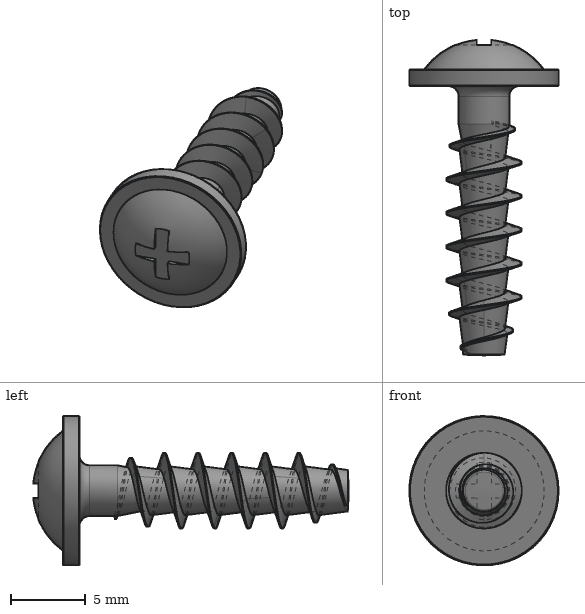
import cadquery as cq
import math


length = 21.1
flange_radius = 5.0
flange_top = 1.98
flange_bottom = 3.1
flange_edge_chamfer = 0.06
dome_base_radius = 4.01
slot_width = 0.95
slot_depth = 0.34

shank_radius = 1.7
shank_end = 5.62
neck_fillet = 0.65
core_radius = 1.4
core_start = 7.18
tip_rim = 21.03
tip_face_radius = 1.27
tip_face_rim = 21.07

crest_radius = 2.53
crest_half_width = 0.05
ridge_upper_width = 0.38
ridge_lower_width = 0.3
ramp_start_radius = 1.65
thread_foot_radius = 1.05
full_thread_start = 8.21
full_thread_end = 17.77
full_thread_turns = 4.25
pitch = (full_thread_end - full_thread_start) / full_thread_turns
longest_piece_turns = 0.9

run_in_turns = 1.2
run_in_crest_radius = 2.0
run_in_half_width = 0.2

run_out_turns = 0.5
run_out_crest_radius = 2.15
run_out_upper_width = 0.25
run_out_lower_width = 0.21
tip_turns = 0.87
tip_crest_radius = 1.48
tip_half_width = 0.06
tip_ramp_start_radius = core_radius + 0.02


def make_body():
    """Revolve the dome, flange, shank and core as one profile."""
    corner = slot_width / math.sqrt(2)
    dome_centre = (dome_base_radius**2 + flange_top**2 - corner**2) / (2 * flange_top)
    dome_radius = math.hypot(corner, dome_centre)
    dome_apex = dome_centre - dome_radius
    half_angle = math.asin(dome_base_radius / dome_radius) / 2
    dome_middle = (
        dome_radius * math.sin(half_angle),
        dome_centre - dome_radius * math.cos(half_angle),
    )
    fillet_offset = neck_fillet * (1 - math.sqrt(0.5))
    chamfer = flange_edge_chamfer
    profile = (
        cq.Workplane("XZ")
        .moveTo(0, dome_apex)
        .threePointArc(dome_middle, (dome_base_radius, flange_top))
        .lineTo(flange_radius - chamfer, flange_top)
        .lineTo(flange_radius, flange_top + chamfer)
        .lineTo(flange_radius, flange_bottom - chamfer)
        .lineTo(flange_radius - chamfer, flange_bottom)
        .lineTo(shank_radius + neck_fillet, flange_bottom)
        .threePointArc(
            (shank_radius + fillet_offset, flange_bottom + fillet_offset),
            (shank_radius, flange_bottom + neck_fillet),
        )
        .lineTo(shank_radius, shank_end)
        .lineTo(core_radius, core_start)
        .lineTo(core_radius, tip_rim)
        .lineTo(tip_face_radius, tip_face_rim)
        .lineTo(0, length)
        .close()
    )
    return profile.revolve(360, (0, 0, 0), (0, 1, 0))


def cut_cross_slots(body):
    """Cut two crossed slots right through the top of the dome."""
    slot_length = 2 * flange_radius
    for size in ((slot_width, slot_length), (slot_length, slot_width)):
        slot = cq.Workplane("XY").workplane(offset=slot_depth).rect(*size).extrude(-2 * slot_depth)
        body = body.cut(slot)
    return body


def spiral_edge(start, end, turns, start_angle):
    """Edge whose (radius, z) goes evenly from start to end while it turns about Z."""
    growth = (end[0] - start[0]) / turns
    rise = (end[1] - start[1]) / turns
    if rise == 0:
        return cq.Edge.makeCircle(
            start[0], (0, 0, start[1]), angle1=start_angle, angle2=start_angle + 360 * turns
        )
    slant = math.hypot(growth, rise)
    cone_angle = math.degrees(math.asin(growth / slant)) if growth else 360
    spiral = cq.Wire.makeHelix(slant, slant * turns, start[0], angle=cone_angle)
    spiral = spiral.translate((0, 0, start[1])).rotate((0, 0, 0), (0, 0, 1), start_angle)
    return spiral.Edges()[0]


def sweep_section(start_section, end_section, turns, start_angle):
    """Solid that changes evenly between two (radius, z) sections as it turns about Z."""
    edges = [
        spiral_edge(start, end, turns, start_angle)
        for start, end in zip(start_section, end_section)
    ]
    following = edges[1:] + edges[:1]
    faces = [cq.Face.makeRuledSurface(edge, other) for edge, other in zip(edges, following)]
    for corners in ([e.startPoint() for e in edges], [e.endPoint() for e in edges]):
        faces.append(cq.Face.makeFromWires(cq.Wire.makePolygon(corners, close=True)))
    return cq.Solid.makeSolid(cq.Shell.makeShell(faces))


def blend(start_section, end_section, share):
    """Section that lies the given share of the way from start to end."""
    return [
        (r0 + (r1 - r0) * share, z0 + (z1 - z0) * share)
        for (r0, z0), (r1, z1) in zip(start_section, end_section)
    ]


def sweep_in_pieces(start_section, end_section, turns, start_angle):
    """Same sweep, split into equal solids of at most longest_piece_turns."""
    count = math.ceil(turns / longest_piece_turns)
    return [
        sweep_section(
            blend(start_section, end_section, i / count),
            blend(start_section, end_section, (i + 1) / count),
            turns / count,
            start_angle + 360 * turns * i / count,
        )
        for i in range(count)
    ]


def thread_section(z, crest, upper_width, lower_width, ramp_start, ramp_end):
    """Ridge centred at z, followed by the ramp down to the core at ramp_end."""
    return [
        (thread_foot_radius, z - upper_width),
        (core_radius, z - upper_width),
        (crest, z - crest_half_width),
        (crest, z + crest_half_width),
        (ramp_start, z + lower_width),
        (core_radius, ramp_end),
        (thread_foot_radius, ramp_end),
    ]


def full_section(z):
    """Full-height ridge whose ramp ends inside the next ridge."""
    return thread_section(
        z, crest_radius, ridge_upper_width, ridge_lower_width, ramp_start_radius, z + pitch
    )


def make_thread():
    """List the solids of the run-in, the full thread and both parts of the run-out."""
    run_in_start = full_thread_start - run_in_turns * pitch
    run_out_end = full_thread_end + run_out_turns * pitch
    tip_end = run_out_end + tip_turns * pitch

    run_in_section = thread_section(
        run_in_start,
        run_in_crest_radius,
        run_in_half_width,
        run_in_half_width,
        ramp_start_radius,
        run_in_start + pitch,
    )
    first_section = full_section(full_thread_start)
    last_section = full_section(full_thread_end)
    run_out_section = thread_section(
        run_out_end,
        run_out_crest_radius,
        run_out_upper_width,
        run_out_lower_width,
        ramp_start_radius,
        tip_rim,
    )
    tip_section = thread_section(
        tip_end, tip_crest_radius, tip_half_width, tip_half_width, tip_ramp_start_radius, tip_rim
    )
    stages = (
        (run_in_section, first_section, run_in_turns),
        (first_section, last_section, full_thread_turns),
        (last_section, run_out_section, run_out_turns),
        (run_out_section, tip_section, tip_turns),
    )

    solids = []
    start_angle = -360 * run_in_turns
    for start_section, end_section, turns in stages:
        solids += sweep_in_pieces(start_section, end_section, turns, start_angle)
        start_angle += 360 * turns
    return solids


screw = cut_cross_slots(make_body())
for thread_solid in make_thread():
    screw = screw.union(cq.Workplane(thread_solid))

result = screw.rotate((0, 0, 0), (1, 0, 0), 90)